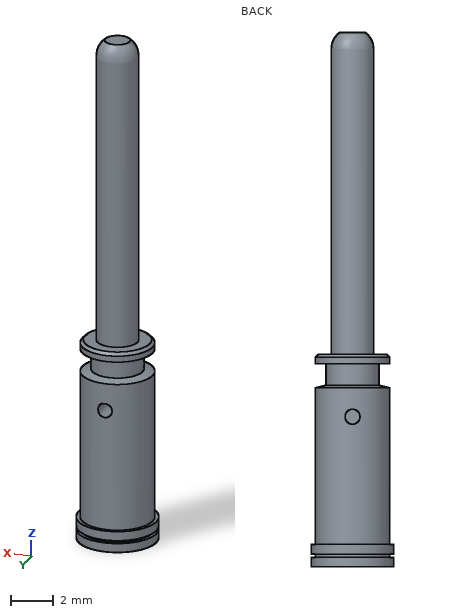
import cadquery as cq
import math

total_length = 25.2
collar_top = 1.05
groove_bottom = 0.45
groove_width = 0.15
barrel_top = 8.45
neck_bottom = 8.57
flange_bottom = 9.58
flange_top = 10.03
flange_chamfer = 0.15
tip_height = 0.78

collar_radius = 1.953
groove_radius = 1.76
barrel_radius = 1.76
neck_radius = 1.25
pin_radius = 1.0
tip_flat_radius = 0.6

hole_diameter = 0.7
hole_height = 7.08


def turned_body():
    """Revolve the contact's half profile about Z."""
    groove_top = groove_bottom + groove_width
    tip_start = total_length - tip_height

    tip_inset = pin_radius - tip_flat_radius
    tip_arc_radius = (tip_inset**2 + tip_height**2) / (2 * tip_inset)
    half_angle = math.asin(tip_height / tip_arc_radius) / 2
    tip_middle = (
        pin_radius - tip_arc_radius * (1 - math.cos(half_angle)),
        tip_start + tip_arc_radius * math.sin(half_angle),
    )

    profile = (
        cq.Workplane("XZ")
        .lineTo(collar_radius, 0)
        .lineTo(collar_radius, groove_bottom)
        .lineTo(groove_radius, groove_bottom)
        .lineTo(groove_radius, groove_top)
        .lineTo(collar_radius, groove_top)
        .lineTo(collar_radius, collar_top)
        .lineTo(barrel_radius, collar_top)
        .lineTo(barrel_radius, barrel_top)
        .lineTo(neck_radius, neck_bottom)
        .lineTo(neck_radius, flange_bottom)
        .lineTo(barrel_radius, flange_bottom)
        .lineTo(barrel_radius, flange_top - flange_chamfer)
        .lineTo(barrel_radius - flange_chamfer, flange_top)
        .lineTo(pin_radius, flange_top)
        .lineTo(pin_radius, tip_start)
        .threePointArc(tip_middle, (tip_flat_radius, total_length))
        .lineTo(0, total_length)
        .close()
    )
    return profile.revolve(360, (0, 0, 0), (0, 1, 0))


def inspection_hole():
    """Radial hole cutter running from the axis out through the +Y wall."""
    return (
        cq.Workplane("XZ")
        .center(0, hole_height)
        .circle(hole_diameter / 2)
        .extrude(-collar_radius)
    )


result = turned_body().cut(inspection_hole())